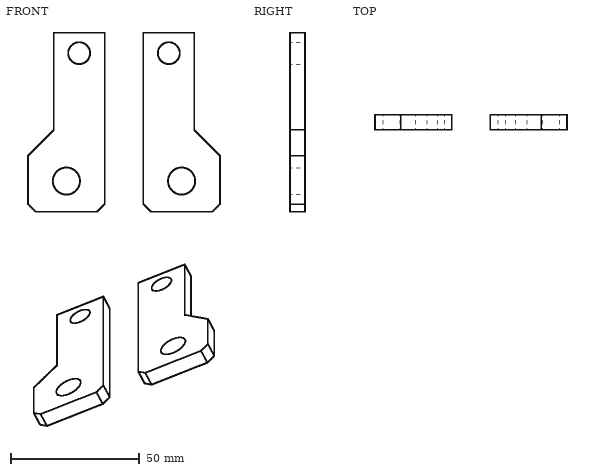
import cadquery as cq

overall_width = 75.0
gap = 15.0
thickness = 6.0
height = 70.0

foot_width = (overall_width - gap) / 2
arm_width = 20.0
shoulder_run = foot_width - arm_width
shoulder_bottom = 22.0
shoulder_top = shoulder_bottom + shoulder_run
corner_chamfer = 3.0

arm_hole_diameter = 8.5
arm_hole_from_top = 8.0
foot_hole_diameter = 10.5
foot_hole_height = 12.0


def front_face():
    """Plane of the plates' -Y face, with its normal pointing along -Y."""
    return cq.Workplane("XZ", origin=(0, -thickness / 2, 0))


def hole_cutter(center, diameter):
    """Cylinder along Y that spans the full plate thickness."""
    return front_face().center(*center).circle(diameter / 2).extrude(-thickness)


def make_plate(side):
    """Build one plate; side is +1 for the +X plate and -1 for the -X plate."""
    inner = side * gap / 2

    def point(outward, z):
        """Point at a distance outward from the inner edge and a height above the base."""
        return (inner + side * outward, z)

    outline = [
        point(corner_chamfer, 0),
        point(foot_width - corner_chamfer, 0),
        point(foot_width, corner_chamfer),
        point(foot_width, shoulder_bottom),
        point(arm_width, shoulder_top),
        point(arm_width, height),
        point(0, height),
        point(0, corner_chamfer),
    ]
    plate = front_face().polyline(outline).close().extrude(-thickness)

    arm_hole = hole_cutter(point(arm_width / 2, height - arm_hole_from_top), arm_hole_diameter)
    foot_hole = hole_cutter(point(foot_width / 2, foot_hole_height), foot_hole_diameter)
    return plate.cut(arm_hole).cut(foot_hole)


plates = [make_plate(side) for side in (-1, 1)]

result = cq.Compound.makeCompound([plate.val() for plate in plates])